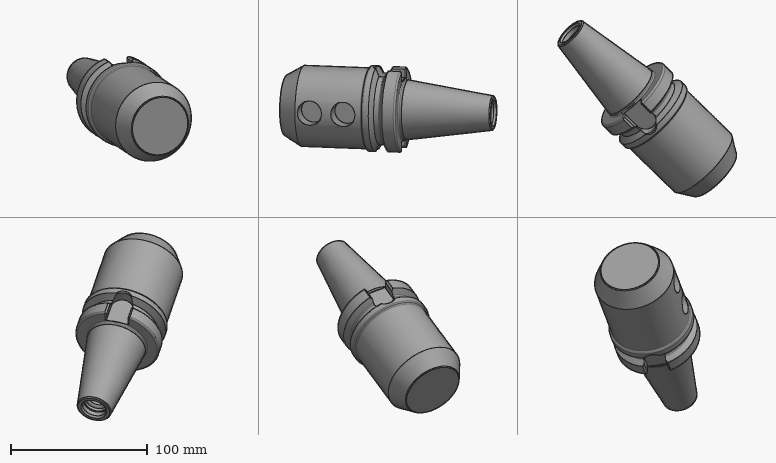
import cadquery as cq
import math


shank_length = 65.4
gauge_radius = 44.45 / 2
taper_slope = 7 / 24 / 2
shank_end_radius = gauge_radius - shank_length * taper_slope
shank_end_chamfer = 0.8
taper_end_x = -1.2
neck_start_x = -0.7
neck_radius = 21.95
neck_round = 1.0

flange_radius = 31.5
flange_start_x = 1.5
flange_end_x = 27.0
flange_front_round = 1.4
flange_rear_round = 1.0
groove_centre_x = 16.5
groove_floor_radius = 26.5
groove_floor_width = 4.4
groove_corner_round = 1.2
groove_wall_angle = 30.0
groove_wall_run = (flange_radius - groove_floor_radius) * math.tan(math.radians(groove_wall_angle))

body_length = 90.0
body_radius = 29.75
body_root_round = flange_radius - flange_rear_round - body_radius
nose_start_x = 76.8
nose_angle = 30.0
nose_chamfer = 0.5
nose_radius = body_radius - (body_length - nose_start_x) * math.tan(math.radians(nose_angle))

slot_width = 16.1
slot_floor_height = 22.4
slot_end_x = 23.4
slot_chamfer = 1.0
slot_side_chamfer = 1.9

bore_steps = [
    (0.0, 9.7),
    (1.8, 8.9),
    (5.4, 8.9),
    (6.0, 8.4),
    (8.5, 8.4),
    (9.3, 8.0),
    (10.9, 7.0),
    (30.0, 7.0),
]
drill_point_angle = 118.0

screw_hole_radius = 9.0
screw_hole_distance = 24.0
screw_hole_count = 2
screw_hole_spacing = 25.0
screw_hole_depth = 15.0


def make_body():
    groove_floor_start = groove_centre_x - groove_floor_width / 2
    groove_floor_end = groove_centre_x + groove_floor_width / 2
    nose_edge_rise = nose_chamfer * math.tan(math.radians(nose_angle))
    wall_angle = math.radians(groove_wall_angle)
    corner_setback = groove_corner_round * math.tan((math.pi / 2 - wall_angle) / 2)
    groove_round_start = (
        groove_floor_start - corner_setback * math.sin(wall_angle),
        groove_floor_radius + corner_setback * math.cos(wall_angle),
    )
    groove_round_end = (groove_floor_start + corner_setback, groove_floor_radius)
    profile = (
        cq.Workplane("XY")
        .moveTo(-shank_length, 0)
        .lineTo(-shank_length, shank_end_radius - shank_end_chamfer)
        .lineTo(-shank_length + shank_end_chamfer, shank_end_radius + shank_end_chamfer * taper_slope)
        .lineTo(taper_end_x, gauge_radius + taper_end_x * taper_slope)
        .lineTo(neck_start_x, neck_radius)
        .lineTo(flange_start_x - neck_round, neck_radius)
        .radiusArc((flange_start_x, neck_radius + neck_round), -neck_round)
        .lineTo(flange_start_x, flange_radius - flange_front_round)
        .radiusArc((flange_start_x + flange_front_round, flange_radius), flange_front_round)
        .lineTo(groove_floor_start - groove_wall_run, flange_radius)
        .lineTo(*groove_round_start)
        .radiusArc(groove_round_end, -groove_corner_round)
        .lineTo(groove_floor_end, groove_floor_radius)
        .lineTo(groove_floor_end + groove_wall_run, flange_radius)
        .lineTo(flange_end_x - flange_rear_round, flange_radius)
        .radiusArc((flange_end_x, flange_radius - flange_rear_round), flange_rear_round)
        .radiusArc((flange_end_x + body_root_round, body_radius), -body_root_round)
        .lineTo(nose_start_x, body_radius)
        .lineTo(body_length - nose_chamfer, nose_radius + nose_edge_rise)
        .lineTo(body_length, nose_radius - nose_chamfer)
        .lineTo(body_length, 0)
        .close()
    )
    return profile.revolve(360, (0, 0, 0), (1, 0, 0))


def make_bore():
    bottom_depth, core_radius = bore_steps[-1]
    point_length = core_radius / math.tan(math.radians(drill_point_angle / 2))
    outline = cq.Workplane("XY").moveTo(-shank_length, 0)
    for depth, radius in bore_steps:
        outline = outline.lineTo(-shank_length + depth, radius)
    outline = outline.lineTo(-shank_length + bottom_depth + point_length, 0).close()
    return outline.revolve(360, (0, 0, 0), (1, 0, 0))


def make_slot():
    half = slot_width / 2
    centre = slot_end_x - half
    return (
        cq.Workplane("XY", origin=(0, 0, slot_floor_height))
        .moveTo(flange_start_x, -half)
        .lineTo(centre, -half)
        .threePointArc((slot_end_x, 0), (centre, half))
        .lineTo(flange_start_x, half)
        .close()
        .extrude(flange_radius)
    )


def make_slot_chamfers():
    """Bevels on the edges of one slot: along both sides, at its front corners and round its end."""
    half = slot_width / 2
    edge_height = math.sqrt(flange_radius**2 - half**2)
    reach = 2 * slot_side_chamfer
    groove_start = groove_centre_x - groove_floor_width / 2
    bevel_foot = edge_height - slot_side_chamfer
    side = (
        cq.Workplane("YZ", origin=(flange_start_x, 0, 0))
        .moveTo(half, bevel_foot)
        .lineTo(half + reach, bevel_foot + reach)
        .lineTo(half, bevel_foot + reach)
        .close()
        .extrude(groove_start - flange_start_x)
    )
    sides = side.union(side.mirror("XZ"))
    corners = (
        cq.Workplane("XY", origin=(0, 0, slot_floor_height))
        .moveTo(flange_start_x, half + slot_chamfer)
        .lineTo(flange_start_x + half + slot_chamfer, 0)
        .lineTo(flange_start_x, -half - slot_chamfer)
        .close()
        .extrude(flange_radius)
    )
    cone_tip_height = flange_radius - slot_chamfer - half
    cone_size = half + reach
    end_cone = cq.Workplane(
        cq.Solid.makeCone(
            0, cone_size, cone_size, pnt=(slot_end_x - half, 0, cone_tip_height), dir=(0, 0, 1)
        )
    )
    return sides.union(corners).union(end_cone)


def make_screw_hole(x):
    return (
        cq.Workplane("XZ", origin=(x, body_radius, 0))
        .circle(screw_hole_radius)
        .extrude(screw_hole_depth)
    )


result = make_body().cut(make_bore())

slot = make_slot().union(make_slot_chamfers())
result = result.cut(slot).cut(slot.mirror("XY"))

for index in range(screw_hole_count):
    screw_x = body_length - screw_hole_distance - index * screw_hole_spacing
    result = result.cut(make_screw_hole(screw_x))